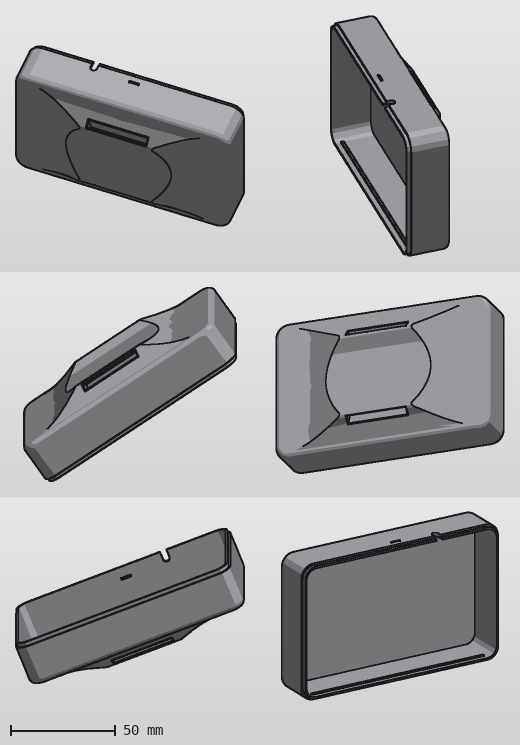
import cadquery as cq
import math

length = 110.0
height = 70.0
front_depth = 22.0
corner_radius = 7.0
front_fillet = 3.0
wall = 2.0

lip_inset = 1.0
lip_depth = 2.0

grip_height = 7.6
end_margin = 10.0
grip_length = length - 2 * end_margin
grip_width = height - 2 * front_fillet
end_slope = math.radians(24)
end_middle = 27.0
crest_length = 37.0
side_slope = math.radians(45)
side_middle = 29.4
side_middle_height = 0.7

ridge_radius = 2.5

scoop_floor = 3.8
scoop_radius = 52.0

slot_length = 30.1
slot_width = 3.0
slot_tilt = 20
slot_mouth_z = 22.2
slot_mouth_height = 5.4
slot_depth = 8.8

rim_length = 31.0
rim_inner_z = 20.8
rim_inner_height = 6.4
rim_outer_z = 24.2
rim_outer_height = 4.0

notch_width = 3.3
notch_depth = 5.6
notch_x = -21.2
slit_length = 5.0
slit_width = 1.0
slit_y = 5.7

bead_y = 3.7
bead_base = 1.8
bead_crest = 1.1
bead_rise = 0.3

overlap = 1.1


def rounded_block(inset, depth):
    """Housing outline shrunk by inset, from the back plane forward by depth."""
    block = cq.Workplane("XZ").rect(length - 2 * inset, height - 2 * inset).extrude(depth)
    return block.edges("|Y").fillet(corner_radius - inset)


def make_shell():
    """Hollow housing with a filleted front and a stepped lip at the open back."""
    body = rounded_block(0, front_depth).faces("<Y").edges().fillet(front_fillet)
    lip_trim = cq.Workplane("XZ").rect(2 * length, 2 * height).extrude(lip_depth)
    lip_trim = lip_trim.cut(rounded_block(lip_inset, lip_depth))
    return body.cut(lip_trim).cut(rounded_block(wall, front_depth - wall))


def side_workplane(x):
    """Plane across X: first coordinate up from mid height, second outward from the front face."""
    return cq.Workplane(cq.Plane(origin=(x, -front_depth, 0), xDir=(0, 0, 1), normal=(1, 0, 0)))


def mirrored(points):
    """Points of a section reflected to its other half, in reverse order."""
    return [(-across, out) for across, out in reversed(points)]


def rising_flank(sketch, points, slope):
    """Smooth curve from the front face, tangent to it, up to a slope at the last point."""
    top_direction = (-math.cos(slope), math.sin(slope))
    return sketch.moveTo(*points[0]).spline(points, tangents=[(-1, 0), top_direction])


def falling_flank(sketch, points, slope):
    """Mirror image of the rising flank, ending tangent to the front face, with the section closed."""
    top_direction = (-math.cos(slope), -math.sin(slope))
    sketch = sketch.spline(mirrored(points), tangents=[top_direction, (-1, 0)])
    foot = points[0][0]
    return sketch.lineTo(-foot, -overlap).lineTo(foot, -overlap).close()


def end_prism():
    """Section of the grip along X (smooth flanks, flat crest), run along Z."""
    flank = [
        (grip_length / 2, 0),
        (end_middle, scoop_floor),
        (crest_length / 2, grip_height),
    ]
    plane = cq.Plane(origin=(0, -front_depth, height / 2), xDir=(1, 0, 0), normal=(0, 0, -1))
    sketch = rising_flank(cq.Workplane(plane), flank, end_slope)
    sketch = sketch.lineTo(-crest_length / 2, grip_height)
    return falling_flank(sketch, flank, end_slope).extrude(height)


def side_prism():
    """Section of the grip along Z (smooth flanks, rounded ridges, scoop), run along X."""
    ridge_centre_height = grip_height - ridge_radius
    centre_distance = scoop_radius + ridge_radius
    ridge_centre_z = math.sqrt(centre_distance**2 - (scoop_floor + scoop_radius - ridge_centre_height) ** 2)

    def on_ridge(angle):
        z = ridge_centre_z + ridge_radius * math.sin(angle)
        return (z, ridge_centre_height + ridge_radius * math.cos(angle))

    ridge_outer = on_ridge(side_slope)
    ridge_crest = on_ridge(0)
    ridge_inner = on_ridge(-math.asin(ridge_centre_z / centre_distance))
    flank = [(grip_width / 2, 0), (side_middle, side_middle_height), ridge_outer]

    sketch = rising_flank(side_workplane(-length / 2), flank, side_slope)
    sketch = sketch.threePointArc(ridge_crest, ridge_inner)
    far_inner, far_crest, far_outer = mirrored([ridge_outer, ridge_crest, ridge_inner])
    sketch = sketch.threePointArc((0, scoop_floor), far_inner)
    sketch = sketch.threePointArc(far_crest, far_outer)
    return falling_flank(sketch, flank, side_slope).extrude(length)


def slot_cutter():
    """Slot for the upper side of the grip, tilted so that it runs down and back behind the scoop."""
    slot = cq.Workplane("XY").box(slot_length, slot_width, 2 * slot_depth)
    slot = slot.rotate((0, 0, 0), (1, 0, 0), slot_tilt)
    return slot.translate((0, -front_depth - slot_mouth_height, slot_mouth_z))


def rim_cutter():
    """Shallow recess around the mouth of the upper slot."""
    profile = [
        (rim_inner_z, rim_inner_height),
        (rim_outer_z, rim_outer_height),
        (rim_outer_z, grip_height + overlap),
        (rim_inner_z, grip_height + overlap),
    ]
    return side_workplane(-rim_length / 2).polyline(profile).close().extrude(rim_length)


def make_grip():
    """Raised grip with a rimmed slot in each sloping side."""
    mouth = slot_cutter().union(rim_cutter())
    grip = side_prism().intersect(end_prism())
    return grip.cut(mouth).cut(mouth.mirror("XY"))


def notch_cutter():
    """Round-ended notch through the top wall, open at the back."""
    radius = notch_width / 2
    end_y = radius - notch_depth
    top = cq.Workplane("XY", origin=(notch_x, 0, height / 2))
    sketch = top.moveTo(-radius, overlap).lineTo(-radius, end_y)
    sketch = sketch.threePointArc((0, -notch_depth), (radius, end_y)).lineTo(radius, overlap)
    return sketch.close().extrude(-2 * wall)


def slit_cutter():
    """Small rectangular slit through the top wall."""
    top = cq.Workplane("XY", origin=(0, -slit_y, height / 2))
    return top.rect(slit_length, slit_width).extrude(-2 * wall)


def make_bead():
    """Low trapezoidal bead along the straight part of the bottom wall's inner face."""
    base_z = wall - height / 2
    profile = [
        (-bead_y - bead_base / 2, base_z - wall / 2),
        (-bead_y - bead_base / 2, base_z),
        (-bead_y - bead_crest / 2, base_z + bead_rise),
        (-bead_y + bead_crest / 2, base_z + bead_rise),
        (-bead_y + bead_base / 2, base_z),
        (-bead_y + bead_base / 2, base_z - wall / 2),
    ]
    straight_length = length - 2 * corner_radius
    return cq.Workplane("YZ").polyline(profile).close().extrude(straight_length / 2, both=True)


result = make_shell().union(make_grip()).union(make_bead())
result = result.cut(notch_cutter()).cut(slit_cutter())